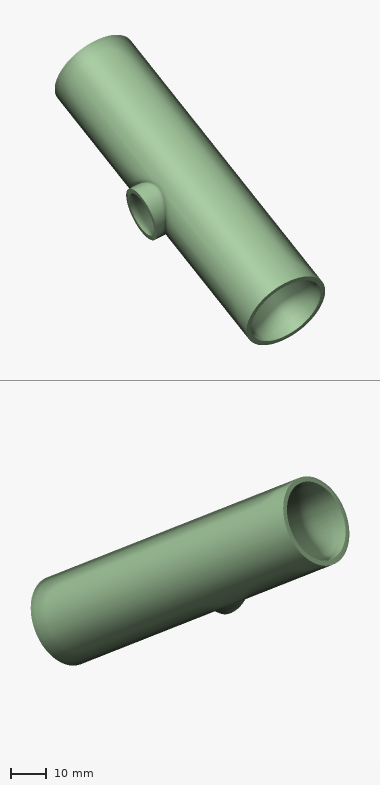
import cadquery as cq

tube_length = 100.0
tube_outer_diameter = 26.0
wall = 1.5
tube_inner_diameter = tube_outer_diameter - 2 * wall

branch_outer_diameter = 16.0
branch_inner_diameter = branch_outer_diameter - 2 * wall
branch_reach = 16.0


def tube_cylinder(diameter):
    """Cylinder along X, centred on the origin."""
    return cq.Workplane("YZ").circle(diameter / 2).extrude(tube_length / 2, both=True)


def branch_cylinder(diameter):
    """Cylinder from the tube axis out to the branch mouth."""
    return cq.Workplane("XZ").circle(diameter / 2).extrude(branch_reach)


outer_body = tube_cylinder(tube_outer_diameter).union(branch_cylinder(branch_outer_diameter))

result = outer_body.cut(tube_cylinder(tube_inner_diameter)).cut(branch_cylinder(branch_inner_diameter))